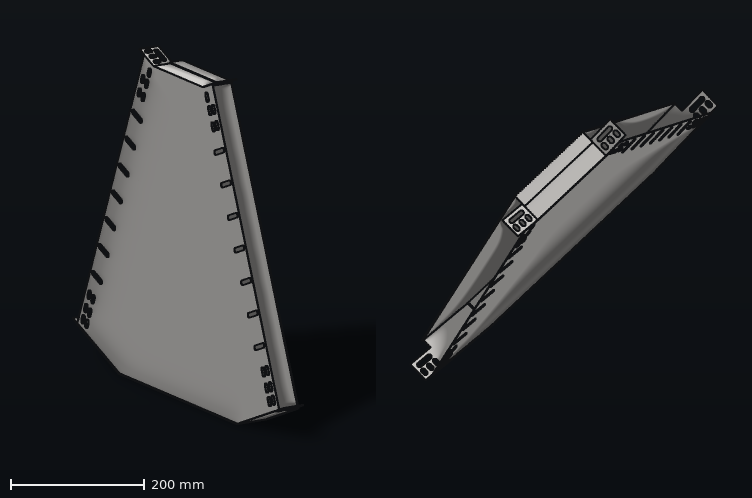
import cadquery as cq
import math

overall_length = 608.0
overall_depth = 51.5
sheet = 1.0
bend_angle = 22.5
end_width = 502.0
outer_slant = 130.5
inner_slant = 30.0
tab_overhang = 14.5
tab_top = 34.5
notch_inset = 31.0
cover_sheet = 1.65
lip_end_gap = 2.0
lip_depth = 22.5

slot_width = 7.0
short_slot_length = 14.5
long_slot_length = 30.0
near_row = 11.5
far_row = 24.0
long_row = 20.0
short_slot_margins = [17.0, 37.5, 62.5]
long_slot_count = 7
long_slot_span = 300.0

tab_slot_inset = 7.0
tab_slot_pitch = 13.5
tab_short_slot_length = 11.5
tab_short_slot_y = 12.0
tab_long_slot_y = 25.0

cos_bend = math.cos(math.radians(bend_angle))
sin_bend = math.sin(math.radians(bend_angle))
mitre_shift = math.tan(math.radians(bend_angle / 2))

outer_corner_x = overall_length / 2 - tab_overhang * cos_bend
outer_corner_z = outer_slant * sin_bend
outer_bend_x = outer_corner_x - outer_slant * cos_bend
inner_corner_x = outer_corner_x - end_width * sin_bend
inner_corner_z = outer_corner_z + end_width * cos_bend
inner_bend_x = inner_corner_x - inner_slant * cos_bend
inner_wall_z = inner_corner_z - inner_slant * sin_bend
cover_bottom = overall_depth - cover_sheet
cutter_reach = 2 * sheet

inward = cq.Vector(cos_bend, 0, -sin_bend)
along_end = cq.Vector(sin_bend, 0, cos_bend)
outer_corner = cq.Vector(-outer_corner_x, 0, outer_corner_z)
inner_corner = cq.Vector(-inner_corner_x, 0, inner_corner_z)


def symmetric_prism(left_half, y_start, y_end):
    """Prism along Y whose XZ outline is left_half closed by its mirror image."""
    right_half = [(-x, z) for x, z in reversed(left_half)]
    return (
        cq.Workplane("XZ", origin=(0, y_start, 0))
        .polyline(left_half + right_half)
        .close()
        .extrude(y_start - y_end)
    )


def bent_wall(corner, bend_x, wall_z, thickness, y_end):
    """Wall standing on the floor, with its outer face through the bend and the corner.

    Its thickness is measured upward, and a negative one hangs below the outer face.
    """
    tip = corner - inward * tab_overhang
    inner_tip = tip + along_end * thickness
    left_half = [
        (-bend_x, wall_z),
        (tip.x, tip.z),
        (inner_tip.x, inner_tip.z),
        (-bend_x + thickness * mitre_shift, wall_z + thickness),
    ]
    return symmetric_prism(left_half, sheet, y_end)


def slots_on(plane, centers, length, angle):
    """Cutters for equal slots at the given points, deep enough to pierce one sheet."""
    return (
        cq.Workplane(plane)
        .pushPoints(centers)
        .slot2D(length, slot_width, angle)
        .extrude(cutter_reach, both=True)
    )


def cut_both_ends(body, left_cutter):
    """Cuts the left cutter and its mirror image out of the body."""
    return body.cut(left_cutter).cut(left_cutter.mirror("YZ"))


def floor_slot_cutter():
    """Slots in the floor along the left open end."""
    plane = cq.Plane(outer_corner, xDir=inward, normal=(0, -1, 0))
    short_centers = []
    for margin in short_slot_margins:
        short_centers += [(near_row, margin), (far_row, margin), (far_row, end_width - margin)]
    for margin in short_slot_margins[1:]:
        short_centers.append((near_row, end_width - margin))
    first_long = (end_width - long_slot_span) / 2
    long_slot_pitch = long_slot_span / (long_slot_count - 1)
    long_centers = [(long_row, first_long + i * long_slot_pitch) for i in range(long_slot_count)]
    short_slots = slots_on(plane, short_centers, short_slot_length, 90)
    return short_slots.add(slots_on(plane, long_centers, long_slot_length, 0)).combine()


def tab_slot_cutter(corner):
    """One long slot above three short ones in the left tab at the given corner."""
    plane = cq.Plane(corner, xDir=inward, normal=along_end)
    short_centers = [(tab_slot_inset + i * tab_slot_pitch, tab_short_slot_y) for i in (-1, 0, 1)]
    long_slot = slots_on(plane, [(tab_slot_inset, tab_long_slot_y)], long_slot_length, 0)
    return long_slot.add(slots_on(plane, short_centers, tab_short_slot_length, 90)).combine()


def tab_notch_cutter():
    """Clears the left end of the outer wall above its tab."""
    plane = cq.Plane(outer_corner, xDir=inward, normal=along_end)
    return (
        cq.Workplane(plane)
        .moveTo(notch_inset, tab_top)
        .hLineTo(-tab_overhang - sheet)
        .vLineTo(overall_depth)
        .hLineTo(notch_inset)
        .close()
        .extrude(cutter_reach, both=True)
    )


def build_tray():
    """Floor with an inner and an outer bent wall, open at both slanted ends."""
    floor_half = [
        (-outer_bend_x, 0),
        (outer_corner.x, outer_corner.z),
        (inner_corner.x, inner_corner.z),
        (-inner_bend_x, inner_wall_z),
    ]
    tray = symmetric_prism(floor_half, 0, sheet)
    outer_wall = bent_wall(outer_corner, outer_bend_x, 0, sheet, cover_bottom)
    outer_wall = cut_both_ends(outer_wall, tab_notch_cutter())
    inner_tabs = bent_wall(inner_corner, inner_bend_x, inner_wall_z, -sheet, tab_top)
    inner_flat = (
        cq.Workplane("XY")
        .box(2 * inner_bend_x, cover_bottom, sheet, centered=(True, False, False))
        .translate((0, 0, inner_wall_z - sheet))
    )
    tray = tray.union(outer_wall).union(inner_tabs).union(inner_flat)
    tray = cut_both_ends(tray, floor_slot_cutter())
    for corner in (outer_corner, inner_corner):
        tray = cut_both_ends(tray, tab_slot_cutter(corner))
    return tray


def cover_lip(half_width, z_start):
    """Flat lip hanging from the cover toward the floor."""
    return (
        cq.Workplane("XY")
        .box(2 * half_width, lip_depth, cover_sheet, centered=(True, False, False))
        .translate((0, overall_depth - lip_depth, z_start))
    )


def build_cover():
    """Plate resting on the walls, with one lip outside the inner wall and one inside the outer wall."""
    plate_corner = outer_corner + inward * inner_slant
    inner_lip_top = inner_wall_z + cover_sheet
    plate_half = [
        (-outer_bend_x, 0),
        (plate_corner.x, plate_corner.z),
        (-inner_bend_x, inner_wall_z),
        (-inner_bend_x, inner_lip_top),
    ]
    plate = symmetric_prism(plate_half, cover_bottom, overall_depth)
    inner_lip = cover_lip(inner_bend_x, inner_wall_z)
    outer_lip = cover_lip(outer_bend_x - lip_end_gap, sheet)
    return plate.union(inner_lip).union(outer_lip)


tray = build_tray()
cover = build_cover()
result = cq.Compound.makeCompound([tray.solids().val(), cover.solids().val()])